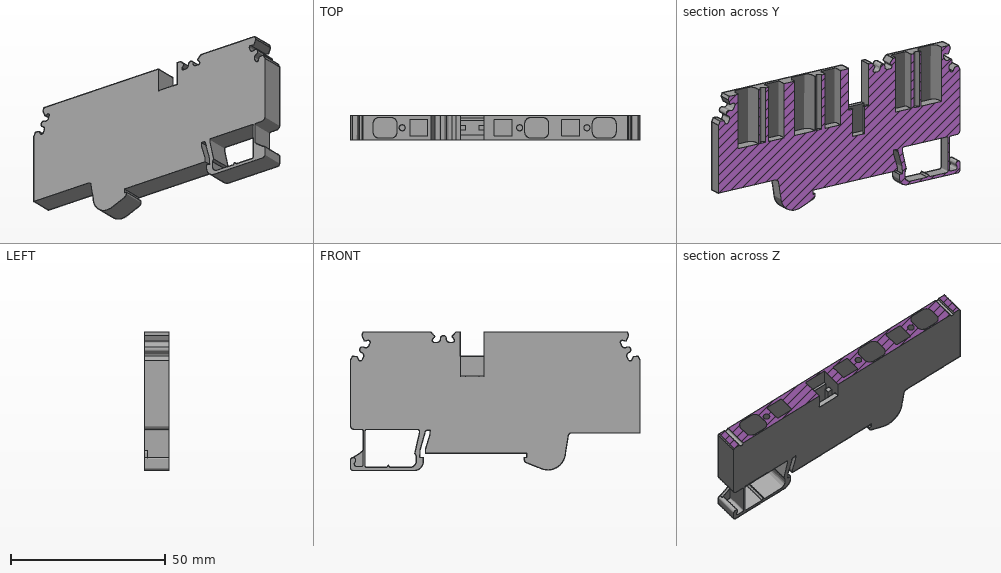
import cadquery as cq
import math

LENGTH = 94.0
THICKNESS = 8.0
HEIGHT = 45.0
MID_Y = THICKNESS / 2
OVERCUT = 0.9
CORNER_REACH = 0.1

FOOT_LEVEL = 13.35
BASE_LEVEL = 5.6
RIGHT_LEVEL = 12.2
SHOULDER_LEVEL = 37.1
SHOULDER_CHAMFER = (0.7, 1.3)
SHOULDER_END = 1.9
TOP_INSET = 4.1
BEAK_INSET = 3.7
BEAK_LEVEL = 43.8
BODY_CORNER = 1.3

FOOT_FLOOR = 1.1
STRUT_LEFT = 4.1
STRUT_RIGHT = 4.8
HOOK_FLOOR = 1.4
WINDOW_RIGHT = 22.4
INNER_FILLET = 0.5
FOOT_CORNER = 0.9
RIDGE_X = 12.3
RIDGE_HALF_WIDTH = 0.6
RIDGE_HEIGHT = 0.7
WEB_THICKNESS = 1.0

NUB_RADIUS = 0.99
NUB_CENTRE_DEPTH = 0.7
GROOVE_RADIUS = 1.0
GROOVE_DEPTH = 1.9
GROOVE_FLAT_END = 3.0
GROOVE_SIDE = (3.6, 1.0)
GROOVE_BEND = (3.5, 1.6)
LIP_FILLET = 0.2
LIP_HALF_SPAN = 2.7
FLANK_RISE = 2.0
MID_MARKER_CENTRE = (30.2, 43.5)
END_MARKER_CENTRE = (3.4, 39.5)
END_MARKER_ANGLE = 65.0
WIDE_FLANK_RUN = 1.8
STEEP_FLANK_RUN = 0.7

NOTCH_LEFT = 35.7
NOTCH_RIGHT = 43.3
NOTCH_FLOOR = 30.6
BACK_WALL = 0.8
NOTCH_POCKET_Y = (1.6, 6.4)
NOTCH_POCKET_DEPTH = 9.4
RIB_LENGTH = 1.6
RIB_THICKNESS = 1.5

OPENING_DEPTH = 18.8
WIRE_SIZE = (7.8, 6.8)
WIRE_CORNER = 2.1
WIRE_CENTRES = (11.3, 60.4, 82.3)
TOOL_SIZE = (5.8, 5.45)
TOOL_CORNER = 0.3
TOOL_CENTRES = (22.2, 49.5, 71.4)
TEST_DIAMETER = 2.0
TEST_CENTRES = (16.8, 54.9, 76.7)


def through(sketch, thickness=THICKNESS):
    """Extrude a closed XZ outline from the front face (Y = 0) toward +Y."""
    return sketch.close().extrude(-thickness)


def round_corner(solid, corner, radius):
    """Fillet the edge along Y that passes through one XZ corner point."""
    x, z = corner
    near = cq.selectors.BoxSelector(
        (x - CORNER_REACH, 0, z - CORNER_REACH), (x + CORNER_REACH, THICKNESS, z + CORNER_REACH)
    )
    return solid.edges("|Y").edges(near).fillet(radius)


def box(x_range, y_range, z_range):
    """Box given by its limits along each axis."""
    sizes = [high - low for low, high in (x_range, y_range, z_range)]
    return cq.Workplane("XY").box(*sizes, centered=False).translate((x_range[0], y_range[0], z_range[0]))


def body():
    """Closed side outline of the body, rail foot and right-hand rail hook."""
    chamfer_x, chamfer_z = SHOULDER_CHAMFER
    sketch = (
        cq.Workplane("XZ")
        .moveTo(0, FOOT_LEVEL)
        .lineTo(0, SHOULDER_LEVEL - chamfer_z)
        .lineTo(chamfer_x, SHOULDER_LEVEL)
        .lineTo(SHOULDER_END, SHOULDER_LEVEL)
        .lineTo(BEAK_INSET, BEAK_LEVEL)
        .lineTo(TOP_INSET, HEIGHT)
        .lineTo(LENGTH - TOP_INSET, HEIGHT)
        .lineTo(LENGTH - BEAK_INSET, BEAK_LEVEL)
        .lineTo(LENGTH - SHOULDER_END, SHOULDER_LEVEL)
        .lineTo(LENGTH - chamfer_x, SHOULDER_LEVEL)
        .lineTo(LENGTH, SHOULDER_LEVEL - chamfer_z)
        .lineTo(LENGTH, RIGHT_LEVEL)
        .lineTo(71.8, RIGHT_LEVEL)
        .threePointArc((71.1, 11.9), (70.7, 11.2))
        .lineTo(69.8, 6.0)
        .threePointArc((68.0, 1.8), (64.2, 0.2))
        .lineTo(62.6, 0.4)
        .lineTo(57.15, 2.5)
        .threePointArc((56.6, 3.0), (56.4, 4.3))
        .lineTo(57.15, 4.3)
        .lineTo(57.15, BASE_LEVEL)
        .lineTo(24.3, BASE_LEVEL)
        .lineTo(24.3, 7.05)
        .lineTo(25.8, 11.7)
        .lineTo(25.85, 13.1)
        .lineTo(24.9, 13.1)
        .threePointArc((24.4, 12.9), (24.25, 12.3))
        .lineTo(22.7, 6.8)
        .lineTo(22.6, 4.3)
        .lineTo(23.7, 4.3)
        .lineTo(23.7, 3.3)
        .threePointArc((22.9, 1.0), (20.5, 0))
        .lineTo(0, 0)
        .lineTo(0, 3.3)
        .threePointArc((1.0, 4.2), (1.7, 3.1))
        .lineTo(1.3, 2.4)
        .threePointArc((1.4, 1.7), (1.9, HOOK_FLOOR))
        .lineTo(STRUT_LEFT, HOOK_FLOOR)
        .lineTo(STRUT_LEFT, FOOT_LEVEL)
    )
    solid = through(sketch)
    solid = round_corner(solid, (0, FOOT_LEVEL), BODY_CORNER)
    solid = round_corner(solid, (0, 0), FOOT_CORNER)
    solid = round_corner(solid, (STRUT_LEFT, HOOK_FLOOR), INNER_FILLET)
    return round_corner(solid, (STRUT_LEFT, FOOT_LEVEL), INNER_FILLET)


def foot_window():
    """Opening between the strut and the spring arm, with a ridge on its floor."""
    sketch = (
        cq.Workplane("XZ")
        .moveTo(STRUT_RIGHT, FOOT_LEVEL)
        .lineTo(WINDOW_RIGHT, FOOT_LEVEL)
        .lineTo(WINDOW_RIGHT, 12.2)
        .lineTo(20.9, 5.6)
        .lineTo(21.3, 4.8)
        .lineTo(21.3, 3.2)
        .threePointArc((20.8, 1.7), (19.55, FOOT_FLOOR))
        .lineTo(RIDGE_X + RIDGE_HALF_WIDTH, FOOT_FLOOR)
        .lineTo(RIDGE_X, FOOT_FLOOR + RIDGE_HEIGHT)
        .lineTo(RIDGE_X - RIDGE_HALF_WIDTH, FOOT_FLOOR)
        .lineTo(STRUT_RIGHT, FOOT_FLOOR)
    )
    window = through(sketch)
    for corner in (
        (STRUT_RIGHT, FOOT_FLOOR),
        (STRUT_RIGHT, FOOT_LEVEL),
        (WINDOW_RIGHT, FOOT_LEVEL),
    ):
        window = round_corner(window, corner, INNER_FILLET)
    return window


def foot_web():
    """Thin web at the back, bracing the left-hand hook against the strut."""
    sketch = (
        cq.Workplane("XZ")
        .moveTo(STRUT_LEFT, FOOT_FLOOR)
        .lineTo(STRUT_LEFT, 6.6)
        .lineTo(3.0, 5.6)
        .lineTo(0.5, 4.0)
        .lineTo(0.5, FOOT_FLOOR)
    )
    return through(sketch, WEB_THICKNESS).translate((0, THICKNESS - WEB_THICKNESS, 0))


def marker_cut(centre, angle, left_run, right_run):
    """Cut for a pair of marker grooves around a round nub.

    The line joining the lips is turned by the angle; the runs set how far each outer flank leans outward.
    """
    top = FLANK_RISE
    side_t, side_n = GROOVE_SIDE
    bend_t, bend_n = GROOVE_BEND
    groove_t = NUB_RADIUS + GROOVE_RADIUS
    groove_n = GROOVE_DEPTH - GROOVE_RADIUS
    bulge = GROOVE_RADIUS * math.sqrt(0.5)
    sketch = (
        cq.Workplane("XZ")
        .moveTo(-LIP_HALF_SPAN - left_run, top)
        .lineTo(-LIP_HALF_SPAN, 0)
        .lineTo(-side_t, -side_n)
        .threePointArc((-bend_t, -bend_n), (-GROOVE_FLAT_END, -GROOVE_DEPTH))
        .lineTo(-groove_t, -GROOVE_DEPTH)
        .threePointArc((-groove_t + bulge, -groove_n - bulge), (-NUB_RADIUS, -groove_n))
        .lineTo(-NUB_RADIUS, -NUB_CENTRE_DEPTH)
        .threePointArc((0, NUB_RADIUS - NUB_CENTRE_DEPTH), (NUB_RADIUS, -NUB_CENTRE_DEPTH))
        .lineTo(NUB_RADIUS, -groove_n)
        .threePointArc((groove_t - bulge, -groove_n - bulge), (groove_t, -GROOVE_DEPTH))
        .lineTo(GROOVE_FLAT_END, -GROOVE_DEPTH)
        .threePointArc((bend_t, -bend_n), (side_t, -side_n))
        .lineTo(LIP_HALF_SPAN, 0)
        .lineTo(LIP_HALF_SPAN + right_run, top)
    )
    cut = through(sketch)
    for lip_t in (-LIP_HALF_SPAN, LIP_HALF_SPAN):
        cut = round_corner(cut, (lip_t, 0), LIP_FILLET)
    cut = cut.rotate((0, 0, 0), (0, 1, 0), -angle)
    return cut.translate((centre[0], 0, centre[1]))


def marker_cuts():
    """Marker grooves in the top face and, mirrored, at both upper corners."""
    middle = marker_cut(MID_MARKER_CENTRE, 0, WIDE_FLANK_RUN, WIDE_FLANK_RUN)
    left = marker_cut(END_MARKER_CENTRE, END_MARKER_ANGLE, STEEP_FLANK_RUN, WIDE_FLANK_RUN)
    right = left.mirror("YZ", (LENGTH / 2, 0, 0))
    return [middle, left, right]


def bridge_notch():
    """Notch open to the front, with a low back wall and a ribbed pocket in its floor."""
    width = (NOTCH_LEFT, NOTCH_RIGHT)
    front = box(width, (-OVERCUT, THICKNESS - BACK_WALL), (NOTCH_FLOOR, HEIGHT + OVERCUT))
    above_wall = box(width, (-OVERCUT, THICKNESS + OVERCUT), (SHOULDER_LEVEL, HEIGHT + OVERCUT))
    pocket_z = (NOTCH_FLOOR - NOTCH_POCKET_DEPTH, NOTCH_FLOOR)
    pocket = box(width, NOTCH_POCKET_Y, pocket_z)
    rib_y = (MID_Y - RIB_THICKNESS / 2, MID_Y + RIB_THICKNESS / 2)
    for rib_x in (
        (NOTCH_LEFT, NOTCH_LEFT + RIB_LENGTH),
        (NOTCH_RIGHT - RIB_LENGTH, NOTCH_RIGHT),
    ):
        pocket = pocket.cut(box(rib_x, rib_y, pocket_z))
    return front.union(above_wall).union(pocket)


def rounded_openings(centres, size, corner):
    """Rounded rectangular openings sunk from the top face."""
    places = [(x, MID_Y) for x in centres]
    holes = cq.Workplane("XY", origin=(0, 0, HEIGHT)).pushPoints(places).rect(*size).extrude(-OPENING_DEPTH)
    return holes.edges("|Z").fillet(corner)


def test_holes():
    """Round test-probe holes beside the wire openings."""
    places = [(x, MID_Y) for x in TEST_CENTRES]
    top_plane = cq.Workplane("XY", origin=(0, 0, HEIGHT))
    return top_plane.pushPoints(places).circle(TEST_DIAMETER / 2).extrude(-OPENING_DEPTH)


result = body().cut(foot_window()).union(foot_web())
for groove in marker_cuts():
    result = result.cut(groove)
result = (
    result.cut(bridge_notch())
    .cut(rounded_openings(WIRE_CENTRES, WIRE_SIZE, WIRE_CORNER))
    .cut(rounded_openings(TOOL_CENTRES, TOOL_SIZE, TOOL_CORNER))
    .cut(test_holes())
)